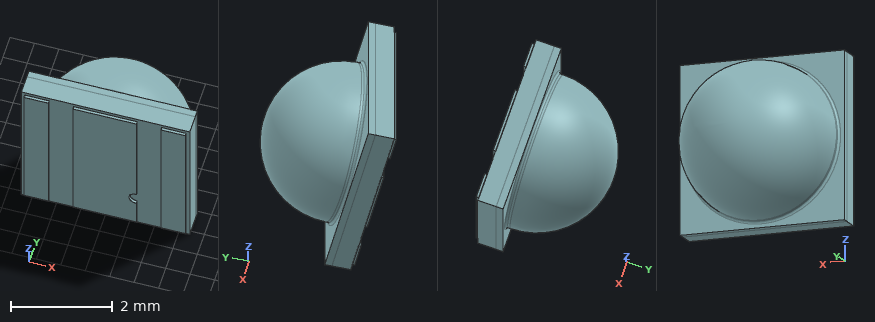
import cadquery as cq
import math

body_side = 3.45
pad_thickness = 0.06
substrate_thickness = 0.385
cover_thickness = 0.145

lens_radius = 1.6
lens_fillet = 0.05
lens_collar_height = 0.1

pad_length = 3.3
center_pad_width = 1.3
side_pad_width = 0.5
side_pad_offset = 1.4
notch_radius = 0.15
notch_z = -0.865

substrate_bottom = pad_thickness
cover_bottom = substrate_bottom + substrate_thickness
cover_top = cover_bottom + cover_thickness
dome_center = cover_top + lens_collar_height
dome_top = dome_center + lens_radius


def plate(width, length, y_start, thickness, x_center=0):
    """Rectangular plate facing Y, from y_start towards +Y."""
    return cq.Workplane("XY").box(width, thickness, length).translate(
        (x_center, y_start + thickness / 2, 0)
    )


def make_body():
    """Substrate and cover layer, keeping the joint line between them."""
    substrate = plate(body_side, body_side, substrate_bottom, substrate_thickness)
    cover = plate(body_side, body_side, cover_bottom, cover_thickness)
    return substrate.union(cover, clean=False)


def make_lens():
    """Hemisphere on a short collar that flares into the cover with a concave fillet."""
    fillet_top = cover_top + lens_fillet
    flare_radius = lens_radius + lens_fillet
    arc_mid = math.sqrt(0.5)
    fillet_mid_offset = lens_fillet * (1 - arc_mid)
    dome_mid_offset = lens_radius * arc_mid
    return (
        cq.Workplane("XY")
        .moveTo(0, cover_top)
        .lineTo(flare_radius, cover_top)
        .threePointArc(
            (lens_radius + fillet_mid_offset, cover_top + fillet_mid_offset),
            (lens_radius, fillet_top),
        )
        .lineTo(lens_radius, dome_center)
        .threePointArc(
            (dome_mid_offset, dome_center + dome_mid_offset),
            (0, dome_top),
        )
        .close()
        .revolve(360, (0, 0, 0), (0, 1, 0))
    )


def make_center_pad():
    """Wide pad with a half-round polarity notch in its +X edge."""
    pad = plate(center_pad_width, pad_length, 0, pad_thickness)
    notch = (
        cq.Workplane("XZ")
        .center(center_pad_width / 2, notch_z)
        .circle(notch_radius)
        .extrude(-pad_thickness)
    )
    return pad.cut(notch)


result = make_body()
result = result.union(make_lens(), clean=False)
result = result.union(make_center_pad(), clean=False)
for side in (-1, 1):
    side_pad = plate(side_pad_width, pad_length, 0, pad_thickness, side * side_pad_offset)
    result = result.union(side_pad, clean=False)